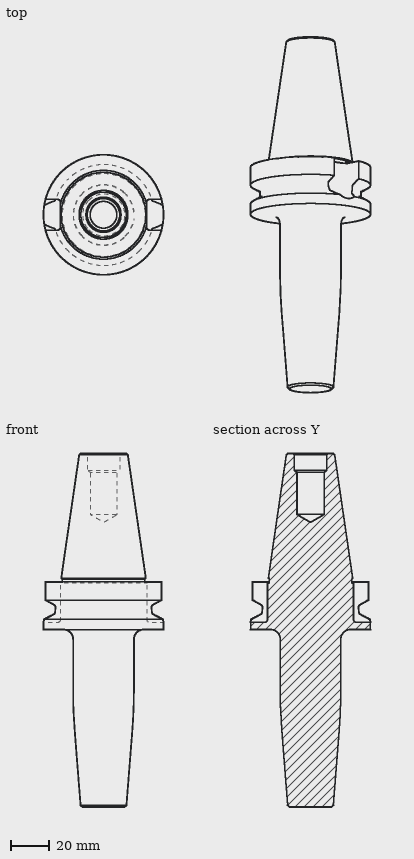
import cadquery as cq
import math


gauge_radius = 44.45 / 2
taper_length = 65.4
taper_slope = 7 / 24 / 2
shank_end_chamfer = 0.8
shank_end_radius = gauge_radius - taper_length * taper_slope

neck_radius = 21.7
neck_chamfer = gauge_radius - neck_radius
relief_radius = 23.3
relief_depth = 0.5

flange_radius = 31.5
flange_top = -2.0
flange_bottom = -27.0

groove_center = -16.5
groove_half_width = 5.0
groove_floor_radius = 26.5
groove_corner_radius = 1.0
groove_flank_angle = math.radians(60)

slot_width = 16.1
slot_floor_distance = 22.6
slot_arc_center = -15.0
slot_floor_fillet = 1.6

body_radius = 16.0
body_fillet = 5.0
body_arc_top = -58.2
nose_angle = math.radians(4.5)
nose_radius = 12.0
nose_bottom = -120.0
nose_chamfer = 1.0

bore_radius = 8.5
bore_chamfer = 0.7
bore_depth = 9.0
drill_radius = 7.0
drill_depth = 32.0
drill_tip_half_angle = math.radians(60)


def make_body():
    """Revolved outside shape, without the V groove."""
    height = body_arc_top - nose_bottom
    drop = body_radius - nose_radius
    tan_nose = math.tan(nose_angle)
    arc_radius = (height * tan_nose - drop) / (
        math.sin(nose_angle) * tan_nose - (1 - math.cos(nose_angle))
    )

    def arc_point(angle):
        x = body_radius - arc_radius * (1 - math.cos(angle))
        return x, body_arc_top - arc_radius * math.sin(angle)

    fillet_outer = body_radius + body_fillet
    fillet_bottom = flange_bottom - body_fillet
    fillet_reach = body_fillet * (1 - math.sqrt(0.5))
    relief_floor = flange_top - relief_depth
    nose_edge_radius = nose_radius + nose_chamfer * tan_nose
    shank_edge_radius = shank_end_radius + shank_end_chamfer * taper_slope

    profile = (
        cq.Workplane("XZ")
        .moveTo(0, taper_length)
        .lineTo(shank_end_radius - shank_end_chamfer, taper_length)
        .lineTo(shank_edge_radius, taper_length - shank_end_chamfer)
        .lineTo(gauge_radius, 0)
        .lineTo(neck_radius, -neck_chamfer)
        .lineTo(neck_radius, relief_floor)
        .lineTo(relief_radius, relief_floor)
        .lineTo(relief_radius, flange_top)
        .lineTo(flange_radius, flange_top)
        .lineTo(flange_radius, flange_bottom)
        .lineTo(fillet_outer, flange_bottom)
        .threePointArc(
            (body_radius + fillet_reach, flange_bottom - fillet_reach),
            (body_radius, fillet_bottom),
        )
        .lineTo(body_radius, body_arc_top)
        .threePointArc(arc_point(nose_angle / 2), arc_point(nose_angle))
        .lineTo(nose_edge_radius, nose_bottom + nose_chamfer)
        .lineTo(nose_radius - nose_chamfer, nose_bottom)
        .lineTo(0, nose_bottom)
        .close()
    )
    return profile.revolve(360, (0, 0, 0), (0, 1, 0))


def make_groove():
    """Ring with a V section, rounded at both corners of its floor."""
    depth = flange_radius - groove_floor_radius
    floor_half_width = groove_half_width - depth / math.tan(groove_flank_angle)
    ring = (
        cq.Workplane("XZ")
        .moveTo(flange_radius, groove_center + groove_half_width)
        .lineTo(groove_floor_radius, groove_center + floor_half_width)
        .lineTo(groove_floor_radius, groove_center - floor_half_width)
        .lineTo(flange_radius, groove_center - groove_half_width)
        .close()
        .revolve(360, (0, 0, 0), (0, 1, 0))
    )
    floor_edges = cq.selectors.RadiusNthSelector(0)
    return ring.edges(floor_edges).fillet(groove_corner_radius)


def make_slot():
    """Drive slot on the +X side: open at the top, round at the bottom, filleted floor."""
    half_width = slot_width / 2
    slot_top = 0
    slot = (
        cq.Workplane("YZ", origin=(slot_floor_distance, 0, 0))
        .moveTo(-half_width, slot_top)
        .lineTo(-half_width, slot_arc_center)
        .threePointArc((0, slot_arc_center - half_width), (half_width, slot_arc_center))
        .lineTo(half_width, slot_top)
        .close()
        .extrude(flange_radius)
    )
    return slot.faces("<X").edges("not >Z").fillet(slot_floor_fillet)


def make_bore():
    """Chamfered bore with a conical ledge leading to a drilled hole with a pointed end."""
    tan_tip = math.tan(drill_tip_half_angle)
    ledge_height = (bore_radius - drill_radius) / tan_tip
    return (
        cq.Workplane("XZ")
        .moveTo(0, taper_length)
        .lineTo(bore_radius + bore_chamfer, taper_length)
        .lineTo(bore_radius, taper_length - bore_chamfer)
        .lineTo(bore_radius, taper_length - bore_depth)
        .lineTo(drill_radius, taper_length - bore_depth - ledge_height)
        .lineTo(drill_radius, taper_length - drill_depth)
        .lineTo(0, taper_length - drill_depth - drill_radius / tan_tip)
        .close()
        .revolve(360, (0, 0, 0), (0, 1, 0))
    )


result = make_body().cut(make_groove()).cut(make_bore())
slot = make_slot()
for turn in (0, 180):
    result = result.cut(slot.rotate((0, 0, 0), (0, 0, 1), turn))